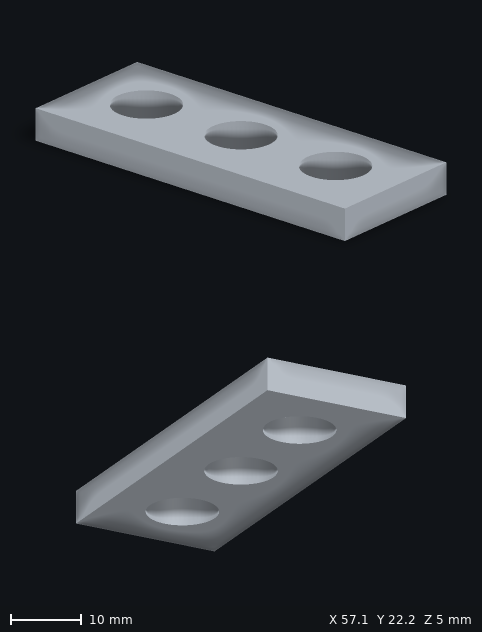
import cadquery as cq

length = 57.15
width = 22.25
thickness = 5.0

hole_diameter = 10.4
hole_pitch = 17.5
hole_count = 3

plate = cq.Workplane("XY").box(length, width, thickness)

result = (
    plate.faces(">Z")
    .workplane()
    .rarray(hole_pitch, 0.6, hole_count, 1)
    .hole(hole_diameter)
)